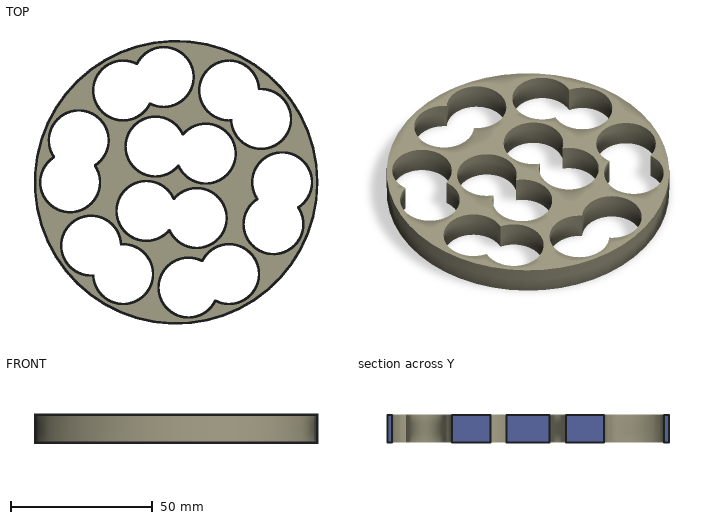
import cadquery as cq

disc_diameter = 99.8
thickness = 10.0

hole_diameter = 21.1

outer_pair_count = 6
outer_circle_radius = 37.4
outer_pair_angle = 23.3

inner_pair_count = 2
inner_circle_radius = 14.6
inner_first_angle = 120.0
inner_pair_angle = 76.0


def hole_pairs(pair_count, circle_radius, first_angle, pair_angle):
    """Cutters for evenly spaced pairs of overlapping through holes."""
    cutters = cq.Workplane("XY")
    for start_angle in (first_angle, first_angle - pair_angle):
        cutters = cutters.union(
            cq.Workplane("XY")
            .polarArray(circle_radius, start_angle, 360, pair_count)
            .circle(hole_diameter / 2)
            .extrude(thickness)
        )
    return cutters


disc = cq.Workplane("XY").circle(disc_diameter / 2).extrude(thickness)
outer_holes = hole_pairs(outer_pair_count, outer_circle_radius, 0, outer_pair_angle)
inner_holes = hole_pairs(inner_pair_count, inner_circle_radius, inner_first_angle, inner_pair_angle)

result = disc.cut(outer_holes).cut(inner_holes)